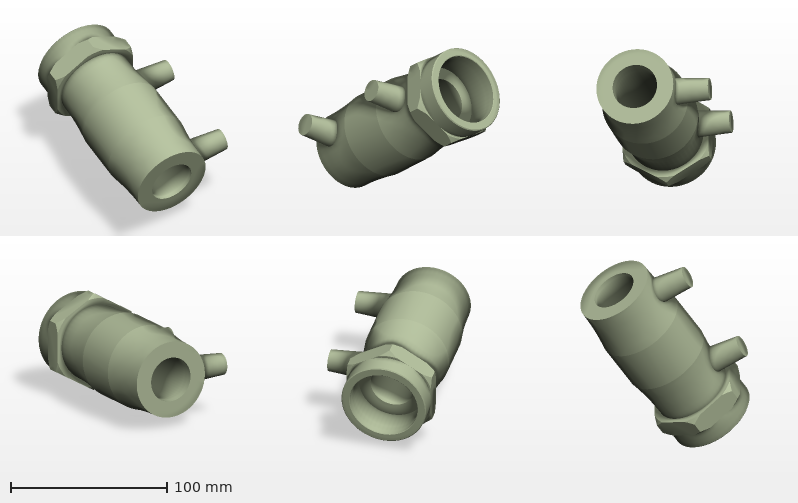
import cadquery as cq
import math

total_length = 122.0
collar_length = 12.6
nut_width = 12.7
barrel_start = collar_length + nut_width
barrel_third = (total_length - barrel_start) / 3

body_radius = 56.0 / 2
neck_radius = 50.3 / 2
collar_chamfer = 0.6

nut_flats = 2 * body_radius
nut_corners = nut_flats / math.cos(math.pi / 6)
nut_chamfer = 2.8

through_diameter = 29.0
socket_diameter = 44.9
socket_depth = 22.5
socket_chamfer = 0.4

pin_centers = (39.6, 107.2)
pin_tip_y = 74.0 - body_radius
pin_root_y = 18.3
pin_tip_radius = 14.2 / 2
pin_taper = 4.0


def make_barrel():
    """Barrel with a straight middle and two concave ends that finish parallel to the axis."""
    middle_start = barrel_start + barrel_third
    middle_end = middle_start + barrel_third
    rise = body_radius - neck_radius
    arc_radius = (barrel_third**2 + rise**2) / (2 * rise)
    half_third = barrel_third / 2
    mid_arc_radius = neck_radius + arc_radius - math.sqrt(arc_radius**2 - half_third**2)
    return (
        cq.Workplane("XY")
        .moveTo(barrel_start, 0)
        .lineTo(barrel_start, neck_radius)
        .threePointArc((barrel_start + half_third, mid_arc_radius), (middle_start, body_radius))
        .lineTo(middle_end, body_radius)
        .threePointArc((total_length - half_third, mid_arc_radius), (total_length, neck_radius))
        .lineTo(total_length, 0)
        .close()
        .revolve(360, (0, 0, 0), (1, 0, 0))
    )


def make_collar():
    """Round collar with a small chamfer at its mouth."""
    return (
        cq.Workplane("YZ")
        .circle(body_radius)
        .extrude(barrel_start)
        .faces("<X")
        .chamfer(collar_chamfer)
    )


def make_nut():
    """Hexagon with corners up and down, its corners turned off conically on both faces."""
    hexagon = (
        cq.Workplane("YZ", origin=(collar_length, 0, 0))
        .transformed(rotate=(0, 0, 90))
        .polygon(6, nut_corners)
        .extrude(nut_width)
    )
    turned_blank = (
        cq.Workplane("YZ", origin=(collar_length, 0, 0))
        .circle(nut_corners / 2)
        .extrude(nut_width)
        .faces("<X or >X")
        .chamfer(nut_chamfer)
    )
    return hexagon.intersect(turned_blank)


def make_pin(center_x):
    """Tapered pin, narrowing from inside the barrel wall to its tip."""
    pin_length = pin_tip_y - pin_root_y
    root_radius = pin_tip_radius + pin_length * math.tan(math.radians(pin_taper))
    axis_start = cq.Vector(center_x, pin_root_y, 0)
    return cq.Solid.makeCone(root_radius, pin_tip_radius, pin_length, axis_start, cq.Vector(0, 1, 0))


def make_bores():
    """Through bore and wider mouth socket with a chamfered edge."""
    through_bore = cq.Workplane("YZ").circle(through_diameter / 2).extrude(total_length)
    socket = cq.Workplane("YZ").circle(socket_diameter / 2).extrude(socket_depth)
    mouth_radius = socket_diameter / 2 + socket_chamfer
    mouth = cq.Solid.makeCone(
        mouth_radius, socket_diameter / 2, socket_chamfer, cq.Vector(0, 0, 0), cq.Vector(1, 0, 0)
    )
    return through_bore.union(socket).union(cq.Workplane(mouth))


body = make_collar().union(make_nut()).union(make_barrel())
for pin_x in pin_centers:
    body = body.union(cq.Workplane(make_pin(pin_x)))

result = body.cut(make_bores())